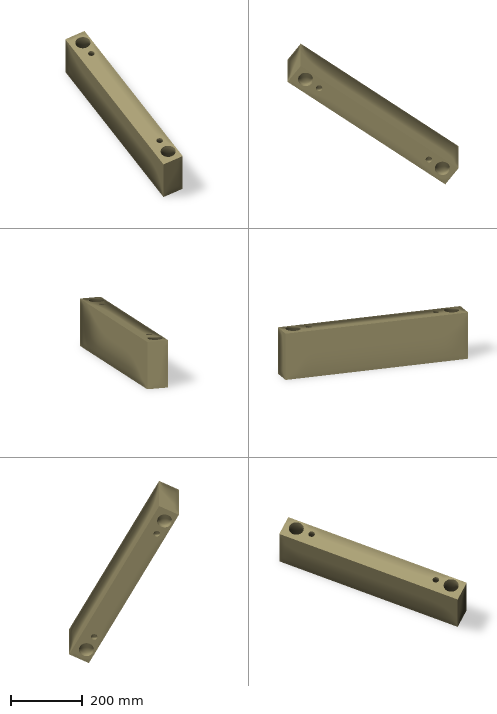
import cadquery as cq

length = 546.0
width = 62.0
height = 136.0

large_diameter = 42.0
large_spacing = 474.0
small_diameter = 18.0
small_spacing = 380.0
hole_row_y = 5.0


def hole_pair_positions(spacing):
    """Centres of two holes placed symmetrically along the hole row."""
    return [(side * spacing / 2, hole_row_y) for side in (-1, 1)]


def drill_pair(body, spacing, diameter):
    """Drill a symmetric pair of holes down through the full height."""
    return (
        body.faces(">Z")
        .workplane(origin=(0, 0, height))
        .pushPoints(hole_pair_positions(spacing))
        .hole(diameter)
    )


block = cq.Workplane("XY").box(length, width, height, centered=(True, True, False))
block = drill_pair(block, large_spacing, large_diameter)
result = drill_pair(block, small_spacing, small_diameter)